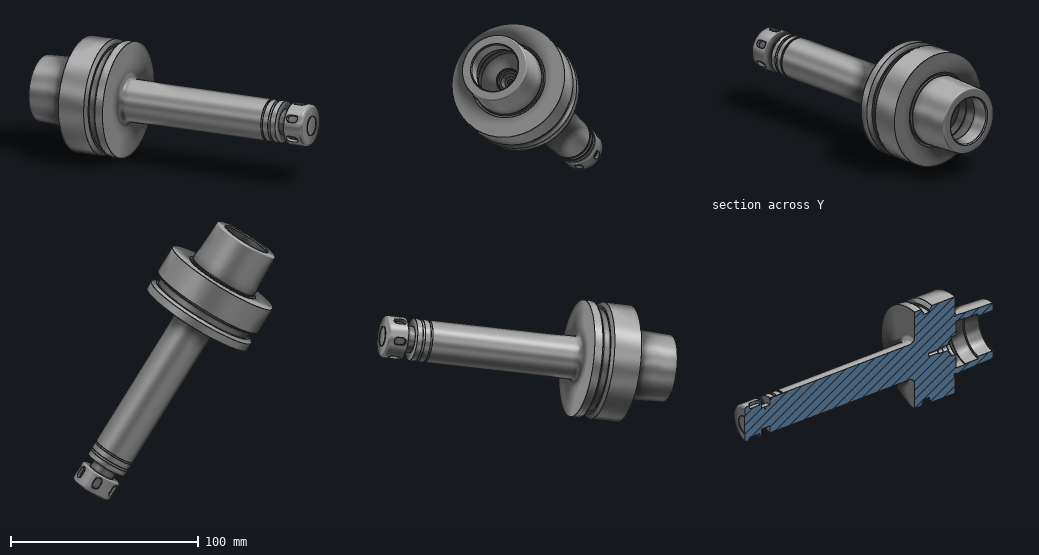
import cadquery as cq
import math


taper_end_r = 18.2
taper_end_fillet = 1.0
taper_base_r = 19.2
taper_base_x = 22.7
taper_band_end_x = 23.7
relief_root_r = 18.5
relief_floor_r = 19.5
relief_outer_r = 20.6
relief_depth = 0.6

flange_r = 63.0 / 2
flange_start_x = 24.6
flange_end_x = 50.9
groove_start_x = 41.1
groove_end_x = 45.0
groove_floor_r = 27.8
groove_flank_length = 1.5
groove_flank_angle = 60
groove_flank_height = groove_flank_length * math.tan(math.radians(groove_flank_angle))

shaft_r = 23.0 / 2
shaft_end_x = 143.7
shaft_fillet = 3.2
shaft_chamfer_length = 1.1
shaft_chamfer_height = 0.2
ring_depth = 0.2
rings = [(135.2, 136.2), (139.4, 140.6)]

neck_r = 14.0 / 2
nut_r = shaft_r
nut_start_x = 148.6
nut_end_x = 159.7
nut_back_fillet = 0.5
nut_front_fillet = 1.6
collet_r = 5.3
total_length = 160.0

slot_count = 6
slot_length = 6.4
slot_width = 4.0
slot_corner_r = 3.5 / 2
slot_center_x = 153.1
slot_floor_r = 9.5

mouth_chamfer_length = 0.8
mouth_chamfer_height = 0.5
bore_r = 26.0 / 2
lip_end_x = 10.0
undercut_r = 14.5
relief_bore_x = 18.2
relief_bore_r = 15.0
bore_floor_x = 24.0
counterbore_r = 12.0 / 2
counterbore_chamfer = 0.5
counterbore_depth = 3.2
cone_start_r = 9.8 / 2
cone_end_r = 6.0 / 2
cone_depth = 1.5
coolant_r = 3.5 / 2
coolant_depth = 3.2
step_r = 3.0 / 2
step_depth = 3.2
pilot_r = 1.8 / 2
pilot_depth = 6.4


def revolve_about_x(profile):
    """Turn a closed (x, radius) profile into a solid of revolution."""
    return profile.close().revolve(360, (0, 0, 0), (1, 0, 0))


def holder_body():
    profile = (
        cq.Workplane("XY")
        .moveTo(0, 0)
        .lineTo(0, taper_end_r - taper_end_fillet)
        .radiusArc((taper_end_fillet, taper_end_r), taper_end_fillet)
        .lineTo(taper_base_x, taper_base_r)
        .lineTo(taper_band_end_x, taper_base_r)
        .lineTo(flange_start_x, relief_root_r)
        .lineTo(flange_start_x + relief_depth, relief_floor_r)
        .lineTo(flange_start_x, relief_outer_r)
        .lineTo(flange_start_x, flange_r)
        .lineTo(groove_start_x - groove_flank_length, flange_r)
        .lineTo(groove_start_x, flange_r - groove_flank_height)
        .lineTo(groove_start_x, groove_floor_r)
        .lineTo(groove_end_x, groove_floor_r)
        .lineTo(groove_end_x, flange_r - groove_flank_height)
        .lineTo(groove_end_x + groove_flank_length, flange_r)
        .lineTo(flange_end_x, flange_r)
        .lineTo(flange_end_x, shaft_r + shaft_fillet)
        .radiusArc((flange_end_x + shaft_fillet, shaft_r), -shaft_fillet)
        .lineTo(shaft_end_x - shaft_chamfer_length, shaft_r)
        .lineTo(shaft_end_x, shaft_r - shaft_chamfer_height)
        .lineTo(shaft_end_x, neck_r)
        .lineTo(nut_start_x, neck_r)
        .lineTo(nut_start_x, nut_r - nut_back_fillet)
        .radiusArc((nut_start_x + nut_back_fillet, nut_r), nut_back_fillet)
        .lineTo(nut_end_x - nut_front_fillet, nut_r)
        .radiusArc((nut_end_x, nut_r - nut_front_fillet), nut_front_fillet)
        .lineTo(nut_end_x, collet_r)
        .lineTo(total_length, collet_r)
        .lineTo(total_length, 0)
    )
    return revolve_about_x(profile)


def bore_cutter():
    counterbore_end_x = bore_floor_x + counterbore_depth
    cone_end_x = counterbore_end_x + cone_depth
    coolant_end_x = cone_end_x + coolant_depth
    step_end_x = coolant_end_x + step_depth
    pilot_end_x = step_end_x + pilot_depth
    profile = (
        cq.Workplane("XY")
        .moveTo(0, 0)
        .lineTo(0, bore_r + mouth_chamfer_height)
        .lineTo(mouth_chamfer_length, bore_r)
        .lineTo(lip_end_x, bore_r)
        .lineTo(lip_end_x, undercut_r)
        .lineTo(relief_bore_x, undercut_r)
        .lineTo(relief_bore_x, relief_bore_r)
        .lineTo(bore_floor_x, relief_bore_r)
        .lineTo(bore_floor_x, counterbore_r + counterbore_chamfer)
        .lineTo(bore_floor_x + counterbore_chamfer, counterbore_r)
        .lineTo(counterbore_end_x, counterbore_r)
        .lineTo(counterbore_end_x, cone_start_r)
        .lineTo(cone_end_x, cone_end_r)
        .lineTo(cone_end_x, coolant_r)
        .lineTo(coolant_end_x, coolant_r)
        .lineTo(coolant_end_x, step_r)
        .lineTo(step_end_x, step_r)
        .lineTo(step_end_x, pilot_r)
        .lineTo(pilot_end_x, pilot_r)
        .lineTo(pilot_end_x, 0)
    )
    return revolve_about_x(profile)


def ring_cutter(start_x, end_x):
    """Shallow square groove running round the shaft."""
    profile = (
        cq.Workplane("XY")
        .moveTo(start_x, shaft_r)
        .lineTo(start_x, shaft_r - ring_depth)
        .lineTo(end_x, shaft_r - ring_depth)
        .lineTo(end_x, shaft_r)
    )
    return revolve_about_x(profile)


def spanner_slot(angle):
    """Flat-bottomed slot with rounded corners, turned about X from straight up."""
    return (
        cq.Workplane("XY", origin=(slot_center_x, 0, slot_floor_r))
        .rect(slot_length, slot_width)
        .extrude(nut_r)
        .edges("|Z")
        .fillet(slot_corner_r)
        .rotate((0, 0, 0), (1, 0, 0), angle)
    )


result = holder_body().cut(bore_cutter())
for ring_start_x, ring_end_x in rings:
    result = result.cut(ring_cutter(ring_start_x, ring_end_x))
for index in range(slot_count):
    result = result.cut(spanner_slot(index * 360 / slot_count))